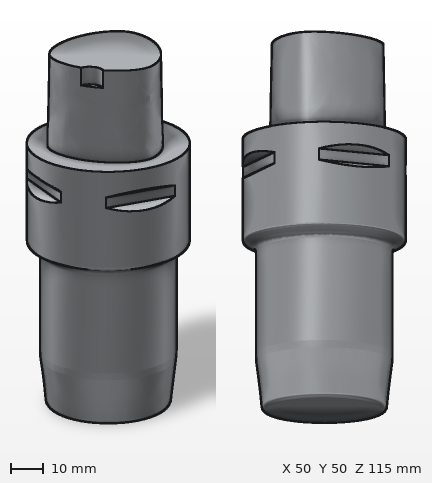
import cadquery as cq
import math

TOTAL_LENGTH = 115.0
SHANK_LENGTH = 29.9
COLLAR_TOP = TOTAL_LENGTH - SHANK_LENGTH

COLLAR_RADIUS = 50.0 / 2
COLLAR_BOTTOM = 52.8
COLLAR_EDGE_RADIUS = 1.0
BODY_RADIUS = 42.0 / 2
BODY_TOP = 51.2
NECK_FILLET = 2.2

TAPER_START = 16.3
TAPER_BLEND_RADIUS = 20.0
NOSE_RADIUS = 19.1
NOSE_FILLET = 1.5

SHANK_BASE_RADIUS = 17.7
SHANK_TOP_RADIUS = 17.1
LOBE_HEIGHT = 1.2
LOBE_COUNT = 3
POINTS_PER_LOBE = 12

NOTCH_RADIUS = 4.3
NOTCH_DEPTH = 5.8
NOTCH_BACK_Y = -13.9

GROOVE_COUNT = 4
GROOVE_FIRST_ANGLE = 45.0
GROOVE_Z = 75.0
GROOVE_FLOOR = 22.1
GROOVE_FLOOR_HEIGHT = 3.5
GROOVE_WALL_ANGLE = 30.0
GROOVE_CLEARANCE = 1.2


def make_body():
    """Turned collar, neck and tapered nose."""
    body = (
        cq.Workplane("XZ")
        .moveTo(0, 0)
        .lineTo(NOSE_RADIUS, 0)
        .lineTo(BODY_RADIUS, TAPER_START)
        .lineTo(BODY_RADIUS, BODY_TOP)
        .lineTo(COLLAR_RADIUS, COLLAR_BOTTOM)
        .lineTo(COLLAR_RADIUS, COLLAR_TOP)
        .lineTo(0, COLLAR_TOP)
        .close()
        .revolve(360, (0, 0), (0, 1))
    )
    edge_rounds = (
        (0, NOSE_FILLET),
        (TAPER_START, TAPER_BLEND_RADIUS),
        (BODY_TOP, NECK_FILLET),
        (COLLAR_BOTTOM, COLLAR_EDGE_RADIUS),
    )
    tolerance = 0.01
    for height, radius in edge_rounds:
        selection = cq.selectors.BoxSelector(
            (-COLLAR_RADIUS, -COLLAR_RADIUS, height - tolerance),
            (COLLAR_RADIUS, COLLAR_RADIUS, height + tolerance),
        )
        body = body.edges(selection).fillet(radius)
    return body


def lobed_point(mean_radius, angle):
    """Point of a constant-width lobed curve whose normal has the given angle from +Y."""
    reach = mean_radius + LOBE_HEIGHT * math.cos(LOBE_COUNT * angle)
    slope = -LOBE_COUNT * LOBE_HEIGHT * math.sin(LOBE_COUNT * angle)
    x = reach * math.sin(angle) + slope * math.cos(angle)
    y = reach * math.cos(angle) - slope * math.sin(angle)
    return (x, y)


def lobed_outline(mean_radius):
    count = LOBE_COUNT * POINTS_PER_LOBE
    return [lobed_point(mean_radius, 2 * math.pi * i / count) for i in range(count)]


def make_shank():
    return (
        cq.Workplane("XY")
        .workplane(offset=COLLAR_TOP)
        .spline(lobed_outline(SHANK_BASE_RADIUS), periodic=True)
        .close()
        .workplane(offset=SHANK_LENGTH)
        .spline(lobed_outline(SHANK_TOP_RADIUS), periodic=True)
        .close()
        .loft(ruled=True)
    )


def make_notch():
    return (
        cq.Workplane("XY")
        .workplane(offset=TOTAL_LENGTH - NOTCH_DEPTH)
        .center(0, NOTCH_BACK_Y - NOTCH_RADIUS)
        .circle(NOTCH_RADIUS)
        .extrude(NOTCH_DEPTH)
    )


def make_groove(angle):
    """Trapezoidal groove, cut straight across the collar at the given angle from +X."""
    outer = COLLAR_RADIUS + GROOVE_CLEARANCE
    floor_half = GROOVE_FLOOR_HEIGHT / 2
    mouth_half = floor_half + (outer - GROOVE_FLOOR) * math.tan(math.radians(GROOVE_WALL_ANGLE))
    return (
        cq.Workplane("XZ")
        .moveTo(GROOVE_FLOOR, GROOVE_Z - floor_half)
        .lineTo(outer, GROOVE_Z - mouth_half)
        .lineTo(outer, GROOVE_Z + mouth_half)
        .lineTo(GROOVE_FLOOR, GROOVE_Z + floor_half)
        .close()
        .extrude(COLLAR_RADIUS, both=True)
        .rotate((0, 0, 0), (0, 0, 1), angle)
    )


result = make_body().union(make_shank()).cut(make_notch())
for groove_index in range(GROOVE_COUNT):
    groove_angle = GROOVE_FIRST_ANGLE + groove_index * 360 / GROOVE_COUNT
    result = result.cut(make_groove(groove_angle))